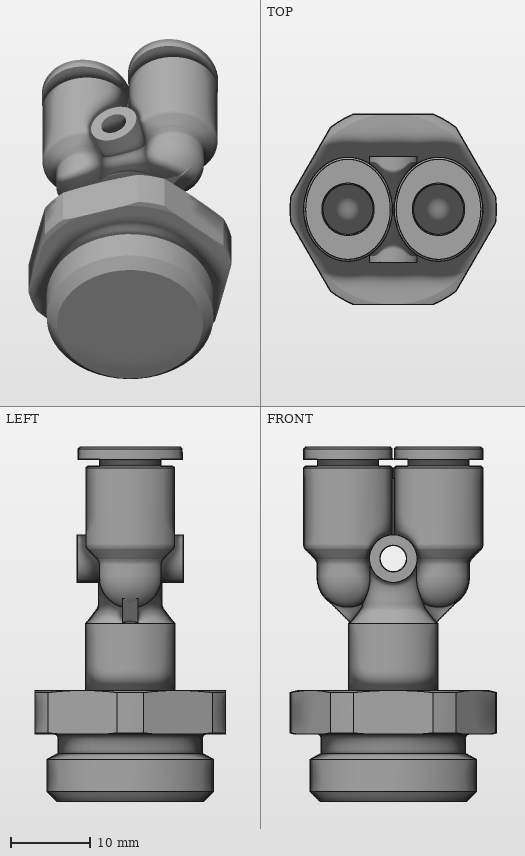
import cadquery as cq
import math

THREAD_R = 10.5
THREAD_CHAMFER = 1.3
THREAD_TOP_Z = 5.3
NECK_R = 9.1
NECK_BOTTOM_Z = 6.05
NECK_FILLET = 0.5

HEX_BOTTOM_Z = 8.5
HEX_TOP_Z = 14.0
HEX_FLATS = 24.0
HEX_CORNER_R = 13.0
HEX_BEVEL_ANGLE = 15.0
HEX_TOP_BEVEL_R = HEX_FLATS / 2
HEX_BOTTOM_BEVEL_R = 12.4

STEM_R = 5.65
STEM_TOP_Z = 22.4
SHOULDER_R = 5.2
SHOULDER_Z = 22.9
COLUMN_R = 4.0
COLUMN_BOTTOM_Z = 24.5
COLUMN_TOP_Z = 31.2
COLUMN_FILLET = 0.9

SOCKET_OFFSET = 5.7
SOCKET_R = 5.6
SOCKET_TOP_Z = 42.25
SOCKET_TOP_CHAMFER = 0.25
SOCKET_BOTTOM_Z = 32.0
SOCKET_EDGE_FILLET = 0.8
DOME_R = 3.9
DOME_CENTER_Z = 28.25
CONE_BOTTOM_Z = SOCKET_BOTTOM_Z - (SOCKET_R - DOME_R)
CONE_FILLET = 0.8

COLLAR_WIDTH = 11.15
COLLAR_LENGTH = 13.1
COLLAR_BOTTOM_Z = 43.1
COLLAR_TOP_Z = 44.65
COLLAR_CHAMFER = 0.25
COLLAR_NECK_R = 3.85
BORE_R = 3.15
BORE_CHAMFER = 0.15
BORE_DEPTH = 12.0

PIN_R = 3.0
PIN_HOLE_R = 1.65
PIN_LENGTH = 13.35
PIN_Z = 30.6
GUSSET_THICKNESS = 2.0
GUSSET_OVERLAP = 0.08
WEB_THICKNESS = 1.4
WEB_STEP_Z = 40.7
WEB_TOP_THICKNESS = 0.8
WEB_TOP_Z = 42.0


def cylinder(radius, bottom_z, top_z, x=0.0):
    """Vertical cylinder between two heights."""
    return cq.Workplane("XY", origin=(x, 0, bottom_z)).circle(radius).extrude(top_z - bottom_z)


def ring_at(height):
    """Selector for the circular edge centred on the Z axis at a height."""
    reach = 0.01
    return cq.selectors.BoxSelector((-reach, -reach, height - reach), (reach, reach, height + reach))


def threaded_end():
    """Chamfered thread body with a relief neck that flares into the hexagon."""
    fillet_start_z = HEX_BOTTOM_Z - NECK_FILLET
    fillet_bulge = NECK_FILLET * (1 - math.cos(math.pi / 4))
    return (
        cq.Workplane("XZ")
        .moveTo(0, 0)
        .lineTo(THREAD_R - THREAD_CHAMFER, 0)
        .lineTo(THREAD_R, THREAD_CHAMFER)
        .lineTo(THREAD_R, THREAD_TOP_Z)
        .lineTo(NECK_R, NECK_BOTTOM_Z)
        .lineTo(NECK_R, fillet_start_z)
        .threePointArc(
            (NECK_R + fillet_bulge, HEX_BOTTOM_Z - fillet_bulge),
            (NECK_R + NECK_FILLET, HEX_BOTTOM_Z),
        )
        .lineTo(0, HEX_BOTTOM_Z)
        .close()
        .revolve(360, (0, 0, 0), (0, 1, 0))
    )


def hexagon():
    """Hexagon with rounded corners and conical bevels on both faces."""
    slope = math.tan(math.radians(HEX_BEVEL_ANGLE))
    top_drop = (HEX_CORNER_R - HEX_TOP_BEVEL_R) * slope
    bottom_rise = (HEX_CORNER_R - HEX_BOTTOM_BEVEL_R) * slope
    turned_blank = (
        cq.Workplane("XZ")
        .moveTo(0, HEX_BOTTOM_Z)
        .lineTo(HEX_BOTTOM_BEVEL_R, HEX_BOTTOM_Z)
        .lineTo(HEX_CORNER_R, HEX_BOTTOM_Z + bottom_rise)
        .lineTo(HEX_CORNER_R, HEX_TOP_Z - top_drop)
        .lineTo(HEX_TOP_BEVEL_R, HEX_TOP_Z)
        .lineTo(0, HEX_TOP_Z)
        .close()
        .revolve(360, (0, 0, 0), (0, 1, 0))
    )
    prism = (
        cq.Workplane("XY", origin=(0, 0, HEX_BOTTOM_Z))
        .polygon(6, HEX_FLATS, circumscribed=True)
        .extrude(HEX_TOP_Z - HEX_BOTTOM_Z)
        .rotate((0, 0, 0), (0, 0, 1), 90)
    )
    return prism.intersect(turned_blank)


def stem_and_column():
    """Stem that tapers over a shoulder into the column carrying the sockets."""
    body = (
        cq.Workplane("XZ")
        .moveTo(0, HEX_TOP_Z)
        .lineTo(STEM_R, HEX_TOP_Z)
        .lineTo(STEM_R, STEM_TOP_Z)
        .lineTo(SHOULDER_R, SHOULDER_Z)
        .lineTo(COLUMN_R, COLUMN_BOTTOM_Z)
        .lineTo(COLUMN_R, COLUMN_TOP_Z)
        .lineTo(0, COLUMN_TOP_Z)
        .close()
        .revolve(360, (0, 0, 0), (0, 1, 0))
    )
    return body.edges(ring_at(COLUMN_BOTTOM_Z)).fillet(COLUMN_FILLET)


def socket_body(x):
    """Socket that narrows through a cone to a domed lower end."""
    dome_mid = DOME_R * math.sqrt(0.5)
    outline = (
        cq.Workplane("XZ")
        .moveTo(0, SOCKET_TOP_Z)
        .lineTo(SOCKET_R - SOCKET_TOP_CHAMFER, SOCKET_TOP_Z)
        .lineTo(SOCKET_R, SOCKET_TOP_Z - SOCKET_TOP_CHAMFER)
        .lineTo(SOCKET_R, SOCKET_BOTTOM_Z)
        .lineTo(DOME_R, CONE_BOTTOM_Z)
        .lineTo(DOME_R, DOME_CENTER_Z)
        .threePointArc((dome_mid, DOME_CENTER_Z - dome_mid), (0, DOME_CENTER_Z - DOME_R))
        .close()
        .revolve(360, (0, 0, 0), (0, 1, 0))
    )
    for edge_z, radius in ((SOCKET_BOTTOM_Z, SOCKET_EDGE_FILLET), (CONE_BOTTOM_Z, CONE_FILLET)):
        outline = outline.edges(ring_at(edge_z)).fillet(radius)
    return outline.translate((x, 0, 0))


def collar(x):
    """Oval release collar on its round neck."""
    plate = (
        cq.Workplane("XY", origin=(x, 0, COLLAR_BOTTOM_Z))
        .ellipse(COLLAR_WIDTH / 2, COLLAR_LENGTH / 2)
        .extrude(COLLAR_TOP_Z - COLLAR_BOTTOM_Z)
        .faces(">Z")
        .chamfer(COLLAR_CHAMFER)
    )
    return plate.union(cylinder(COLLAR_NECK_R, SOCKET_TOP_Z, COLLAR_BOTTOM_Z, x))


def tube_bore(x):
    """Blind tube bore with a small lead-in chamfer."""
    lead_in = cylinder(BORE_R + BORE_CHAMFER, COLLAR_TOP_Z - BORE_CHAMFER, COLLAR_TOP_Z, x)
    lead_in = lead_in.faces("<Z").chamfer(BORE_CHAMFER * 0.999)
    return cylinder(BORE_R, COLLAR_TOP_Z - BORE_DEPTH, COLLAR_TOP_Z, x).union(lead_in)


def pin_cylinder(radius):
    """Cylinder along Y on the cross pin axis."""
    return cq.Workplane("XZ", origin=(0, 0, PIN_Z)).circle(radius).extrude(PIN_LENGTH / 2, both=True)


def gussets():
    """Plate between the stem and both domes, with 45 degree lower edges that end just inside the domes."""
    dome_reach = (DOME_R - GUSSET_OVERLAP) * math.sqrt(0.5)
    outer_x = SOCKET_OFFSET + dome_reach
    outer_z = DOME_CENTER_Z - dome_reach
    inner_z = outer_z - (outer_x - SHOULDER_R)
    return (
        cq.Workplane("XZ")
        .moveTo(-outer_x, outer_z)
        .lineTo(-SHOULDER_R, inner_z)
        .lineTo(SHOULDER_R, inner_z)
        .lineTo(outer_x, outer_z)
        .close()
        .extrude(GUSSET_THICKNESS / 2, both=True)
    )


def web():
    """Wall closing the gap between the two sockets, thinner along its top."""
    width = SOCKET_OFFSET - BORE_R
    wall = cq.Workplane("XY", origin=(0, 0, PIN_Z)).rect(width, WEB_THICKNESS).extrude(WEB_STEP_Z - PIN_Z)
    top_strip = (
        cq.Workplane("XY", origin=(0, 0, PIN_Z)).rect(width, WEB_TOP_THICKNESS).extrude(WEB_TOP_Z - PIN_Z)
    )
    return wall.union(top_strip)


def tube_port(x):
    """One complete push-in port: socket, collar and bore."""
    return socket_body(x).union(collar(x)).cut(tube_bore(x))


left_port = tube_port(-SOCKET_OFFSET)
right_port = left_port.mirror("YZ")

result = threaded_end().union(hexagon()).union(stem_and_column())
result = result.union(gussets()).union(pin_cylinder(PIN_R)).union(web())
result = result.union(left_port).union(right_port)
result = result.cut(pin_cylinder(PIN_HOLE_R))